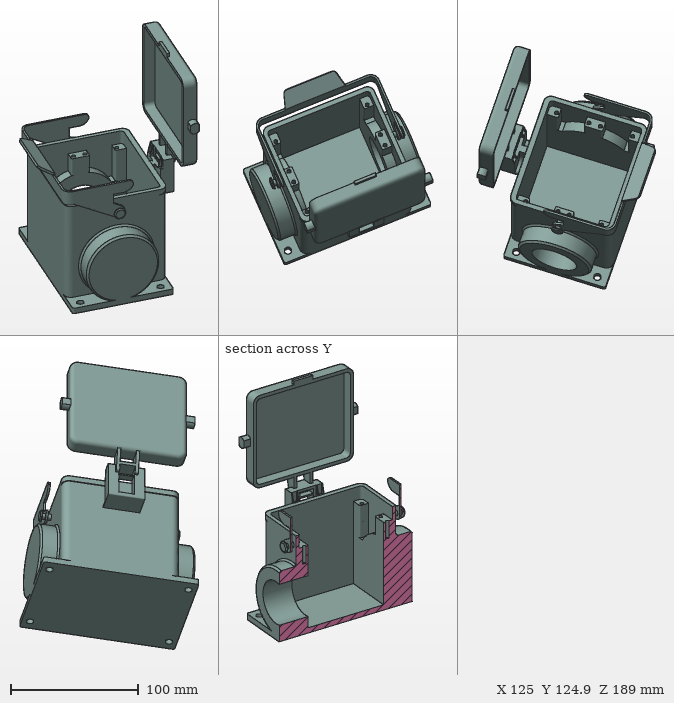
import math

import cadquery as cq


BASE_LENGTH = 125.0
BASE_THICKNESS = 5.1
BASE_CORNER_RADIUS = 1.7
BASE_HOLE_RADIUS = 2.8
BASE_HOLE_X = 56.0
BASE_HOLE_Y = 33.5
BODY_LENGTH = 94.1
BODY_DEPTH = 84.1
BODY_TOP = 89.5
BODY_CORNER_RADIUS = 6.0
RIM_HEIGHT = 5.0
RIM_OVERHANG = 0.8
CAVITY_LENGTH = 87
CAVITY_DEPTH = 76.4
CAVITY_CORNER_RADIUS = 2.8

INNER_FACE_X = 35.3
SHELF_TOP = 49.3
POST_TOP = 77.9
CORNER_POST_WIDTH = 9.3
MIDDLE_POST_WIDTH = 15.1
POST_EDGE_RADIUS = 1.1
SCREW_HOLE_RADIUS = 1.5
SCREW_HOLE_DEPTH = 15.1
SCREW_HOLE_X = 39.0
CORNER_SCREW_Y = 31.4
MIDDLE_SCREW_Y = 4.7

ENTRY_Z = 32.9
ENTRY_RADIUS = 30.2
ENTRY_CHAMFER = 1.7
ENTRY_FLARE = 1.5
FLARE_EDGE = 0.02
ENTRY_BORE_RADIUS = 18.5

LID_BACK = 68
LID_FRONT = 55.8
LID_BOTTOM = 104
LID_TOP = 185.8
LID_WALL = 3.0
LID_CORNER_RADIUS = 6.8
LID_EDGE_RADIUS = 3.4
LID_TAB_TOP = 189
LID_TAB_WIDTH = 18.1
LID_TAB_THICKNESS = 2.3
LID_PIN_Y = 63.1
LID_PIN_Z = 144.2
LID_PIN_RADIUS = 4.7
LID_PIN_FLAT = 3.5
LID_PIN_END_X = 53.5

HINGE_WIDTH = 29.5
HINGE_BACK = 59.7
HINGE_FRONT = 48.2
HINGE_TOP_FRONT = 50.7
HINGE_TOP = 94.1
HINGE_BOTTOM = 63.1
HINGE_SHOULDER = 84.1
HINGE_EDGE_RADIUS = 1.0
NOTCH_WIDTH = 17.8
NOTCH_BACK = 51.2
WINDOW_WIDTH = 12.5
WINDOW_TOP = 91.7
BAR_BOTTOM = 86.4
BAR_TOP = 87.7
BAR_BACK = 56.9
CHEEK_POCKET_X = 11.7
CHEEK_POCKET_WIDTH = 4.2
CHEEK_POCKET_FLOOR = 85.6
CHEEK_POCKET_BACK = 50.8
FOOT_TOP = 66.7
FOOT_EDGE_RADIUS = 2.3
RIB_WIDTH = 5.9
RIB_FLARE_RADIUS = 7.2
EAR_BOTTOM = 86.4
EAR_TIP_BACK = 62.4
EAR_TOP_BACK = 67.1
EAR_TIP_RADIUS = 1.5

PIVOT_Z = 80.0
PIVOT_RADIUS = 2.5
PIVOT_HEAD_RADIUS = 4.7
PIVOT_HEAD_THICKNESS = 1.5
PIVOT_HEAD_CHAMFER = 1.0
PIVOT_END_X = 56.1
LEVER_WIDTH = 104
LEVER_SHEET = 1.7
LEVER_FRONT = -45.2
LEVER_BEND_RADIUS = 7.2
LEVER_TOP = 106.8
LEVER_BAR_BOTTOM = 94.5
LEVER_BAR_END = -36.7
LEVER_HUB_RADIUS = 5.3
LEVER_NECK_Y = -4.2
LEVER_NECK_Z = 88.5
HOOK_BOTTOM = 97.0
HOOK_UNDERSIDE_END = 3.0
HOOK_NOSE_Y = 12.5
HOOK_NOSE_Z = 102.8
HOOK_TOP_END = 8.5
HOOK_LOWER_BULGE = (10.0, 99.2)
HOOK_UPPER_BULGE = (11.3, 105.7)

GRIP_ANGLE = math.radians(30)
GRIP_TIP_Y = -56.9
GRIP_TIP_Z = 114.3
GRIP_LENGTH = 15.9
GRIP_SHEET = 2.0
GRIP_ROOT_WIDTH = 51.5
GRIP_TIP_WIDTH = 43.0
GRIP_CORNER_RADIUS = 4.7
GRIP_FOLD_TOP = 108.1


def block(x_range, y_range, z_range):
    """Box given by its limits along each axis."""
    sizes = [high - low for low, high in (x_range, y_range, z_range)]
    origin = (x_range[0], y_range[0], z_range[0])
    return cq.Workplane("XY").box(*sizes, centered=False).translate(origin)


def centred_block(width, y_range, z_range):
    """Box centred on X = 0."""
    return block((-width / 2, width / 2), y_range, z_range)


def x_cylinder(radius, y, z, x_start, x_end):
    """Cylinder along X."""
    plane = cq.Workplane("YZ", origin=(x_start, y, z))
    return plane.circle(radius).extrude(x_end - x_start)


def both_ends(feature):
    """The feature together with its mirror image across X = 0."""
    return feature.union(feature.mirror("YZ"))


def tangent_point(point, centre, radius, side):
    """Where the line from a point touches a circle; side is +1 or -1."""
    dy = point[0] - centre[0]
    dz = point[1] - centre[1]
    spread = math.acos(radius / math.hypot(dy, dz))
    angle = math.atan2(dz, dy) + side * spread
    return (centre[0] + radius * math.cos(angle), centre[1] + radius * math.sin(angle))


def make_shell():
    base = (
        centred_block(BASE_LENGTH, (-BODY_DEPTH / 2, BODY_DEPTH / 2), (0, BASE_THICKNESS))
        .edges("|Z").fillet(BASE_CORNER_RADIUS)
    )
    body = (
        centred_block(BODY_LENGTH, (-BODY_DEPTH / 2, BODY_DEPTH / 2), (0, BODY_TOP))
        .edges("|Z").fillet(BODY_CORNER_RADIUS)
    )
    rim = (
        centred_block(
            BODY_LENGTH,
            (-BODY_DEPTH / 2, BODY_DEPTH / 2 + RIM_OVERHANG),
            (BODY_TOP - RIM_HEIGHT, BODY_TOP),
        )
        .edges("|Z").fillet(BODY_CORNER_RADIUS)
    )
    base_holes = (
        cq.Workplane("XY")
        .rect(2 * BASE_HOLE_X, 2 * BASE_HOLE_Y, forConstruction=True)
        .vertices().circle(BASE_HOLE_RADIUS).extrude(BASE_THICKNESS)
    )
    return body.union(rim).union(both_ends(make_entry())).union(base).cut(base_holes)


def make_entry():
    """Outer cable entry at the -X end, flared where it meets the body."""
    body_end = -BODY_LENGTH / 2
    barrel = (
        x_cylinder(ENTRY_RADIUS, 0, ENTRY_Z, -BASE_LENGTH / 2, body_end)
        .faces("<X").edges().chamfer(ENTRY_CHAMFER)
    )
    flare = (
        x_cylinder(ENTRY_RADIUS + ENTRY_FLARE, 0, ENTRY_Z, body_end - ENTRY_FLARE, body_end)
        .faces("<X").edges().chamfer(ENTRY_FLARE - FLARE_EDGE)
    )
    return barrel.union(flare)


def make_cavity():
    """Room inside the housing, less what stands against its end walls."""
    room = (
        centred_block(CAVITY_LENGTH, (-CAVITY_DEPTH / 2, CAVITY_DEPTH / 2), (BASE_THICKNESS, BODY_TOP))
        .edges("|Z").fillet(CAVITY_CORNER_RADIUS)
    )
    return room.cut(both_ends(make_end_wall()))


def make_end_wall():
    """Shelf, inner entry boss and screw posts at the -X end."""
    x_range = (-BODY_LENGTH / 2, -INNER_FACE_X)
    half_depth = CAVITY_DEPTH / 2

    wall = block(x_range, (-half_depth, half_depth), (0, SHELF_TOP))
    wall = wall.union(x_cylinder(ENTRY_RADIUS, 0, ENTRY_Z, *x_range))

    post_inner = half_depth - CORNER_POST_WIDTH
    posts = (
        ((-half_depth, -post_inner), ">X and >Y"),
        ((-MIDDLE_POST_WIDTH / 2, MIDDLE_POST_WIDTH / 2), ">X"),
        ((post_inner, half_depth), ">X and <Y"),
    )
    for y_range, rounded in posts:
        post = block(x_range, y_range, (0, POST_TOP))
        post = post.edges("|Z").edges(rounded).fillet(POST_EDGE_RADIUS)
        wall = wall.union(post)

    screw_points = [
        (-SCREW_HOLE_X, side * y) for side in (-1, 1) for y in (MIDDLE_SCREW_Y, CORNER_SCREW_Y)
    ]
    screw_holes = (
        cq.Workplane("XY", origin=(0, 0, POST_TOP - SCREW_HOLE_DEPTH))
        .pushPoints(screw_points).circle(SCREW_HOLE_RADIUS).extrude(SCREW_HOLE_DEPTH)
    )
    return wall.cut(screw_holes)


def make_lid():
    half = BODY_LENGTH / 2
    tray = (
        block((-half, half), (LID_FRONT, LID_BACK), (LID_BOTTOM, LID_TOP))
        .edges("|Y").fillet(LID_CORNER_RADIUS)
        .faces(">Y").edges().fillet(LID_EDGE_RADIUS)
    )
    recess = (
        centred_block(
            BODY_LENGTH - 2 * LID_WALL,
            (LID_FRONT, LID_BACK - LID_WALL),
            (LID_BOTTOM + LID_WALL, LID_TOP - LID_WALL),
        )
        .edges("|Y").fillet(LID_CORNER_RADIUS - LID_WALL)
    )
    tab = centred_block(
        LID_TAB_WIDTH,
        (LID_FRONT, LID_FRONT + LID_TAB_THICKNESS),
        (LID_TOP - LID_WALL, LID_TAB_TOP),
    )
    pin = x_cylinder(LID_PIN_RADIUS, LID_PIN_Y, LID_PIN_Z, -LID_PIN_END_X, LID_WALL - half)
    pin = pin.intersect(
        centred_block(
            2 * LID_PIN_END_X,
            (LID_PIN_Y - LID_PIN_FLAT, LID_PIN_Y + LID_PIN_FLAT),
            (LID_PIN_Z - LID_PIN_RADIUS, LID_PIN_Z + LID_PIN_RADIUS),
        )
    )
    return tray.cut(recess).union(tab).union(both_ends(pin))


def make_lid_ears():
    """Pair of tapered ears, joined by a bridge, reaching from the lid into the hinge block."""
    ear_top = LID_BOTTOM + LID_WALL / 2
    ears = (
        cq.Workplane("YZ")
        .moveTo(LID_FRONT, ear_top)
        .lineTo(LID_FRONT, EAR_BOTTOM)
        .lineTo(EAR_TIP_BACK, EAR_BOTTOM)
        .lineTo(EAR_TOP_BACK, ear_top)
        .close()
        .extrude(NOTCH_WIDTH / 2, both=True)
        .faces("<Z").edges(">Y").fillet(EAR_TIP_RADIUS)
    )
    upper_gap = centred_block(WINDOW_WIDTH, (LID_FRONT, LID_BACK), (HINGE_TOP, ear_top))
    lower_gap = centred_block(WINDOW_WIDTH, (LID_FRONT, LID_BACK), (EAR_BOTTOM, WINDOW_TOP))
    return ears.cut(upper_gap).cut(lower_gap)


def make_hinge():
    """Hinge block: two pocketed cheeks with a notch, a window and a thin bar between them."""
    hinge = (
        cq.Workplane("YZ")
        .moveTo(HINGE_BACK, HINGE_BOTTOM)
        .lineTo(HINGE_BACK, HINGE_TOP)
        .lineTo(HINGE_TOP_FRONT, HINGE_TOP)
        .lineTo(HINGE_FRONT, HINGE_SHOULDER)
        .lineTo(HINGE_FRONT, HINGE_BOTTOM)
        .close()
        .extrude(HINGE_WIDTH / 2, both=True)
        .edges("|X and >Y").fillet(HINGE_EDGE_RADIUS)
    )
    notch = centred_block(NOTCH_WIDTH, (HINGE_FRONT, NOTCH_BACK), (HINGE_SHOULDER, HINGE_TOP))
    window = centred_block(WINDOW_WIDTH, (NOTCH_BACK, HINGE_BACK), (FOOT_TOP, WINDOW_TOP))
    bar = centred_block(WINDOW_WIDTH, (NOTCH_BACK, BAR_BACK), (BAR_BOTTOM, BAR_TOP))
    cheek_pocket = block(
        (-CHEEK_POCKET_X - CHEEK_POCKET_WIDTH / 2, -CHEEK_POCKET_X + CHEEK_POCKET_WIDTH / 2),
        (HINGE_FRONT, CHEEK_POCKET_BACK),
        (CHEEK_POCKET_FLOOR, HINGE_TOP),
    )
    return hinge.cut(notch).cut(window).union(bar).cut(both_ends(cheek_pocket))


def make_hinge_bracket():
    """Bracket from the hinge to the body: a foot and an upright rib blended by round flares."""
    body_back = BODY_DEPTH / 2
    foot_half = HINGE_WIDTH / 2
    rib_half = RIB_WIDTH / 2
    flare_end = rib_half + RIB_FLARE_RADIUS
    flare_top = FOOT_TOP + RIB_FLARE_RADIUS
    flare_mid = RIB_FLARE_RADIUS * (1 - math.sqrt(0.5))
    return (
        cq.Workplane("XZ", origin=(0, body_back, 0))
        .moveTo(-foot_half, HINGE_BOTTOM)
        .lineTo(foot_half, HINGE_BOTTOM)
        .lineTo(foot_half, FOOT_TOP)
        .lineTo(flare_end, FOOT_TOP)
        .threePointArc((rib_half + flare_mid, FOOT_TOP + flare_mid), (rib_half, flare_top))
        .lineTo(rib_half, HINGE_SHOULDER)
        .lineTo(-rib_half, HINGE_SHOULDER)
        .lineTo(-rib_half, flare_top)
        .threePointArc((-rib_half - flare_mid, FOOT_TOP + flare_mid), (-flare_end, FOOT_TOP))
        .lineTo(-foot_half, FOOT_TOP)
        .close()
        .extrude(body_back - HINGE_FRONT)
        .faces("<X or >X").edges(">Z").fillet(FOOT_EDGE_RADIUS)
    )


def make_pivots():
    shaft = x_cylinder(PIVOT_RADIUS, 0, PIVOT_Z, -PIVOT_END_X, -BODY_LENGTH / 2)
    head_inner_x = PIVOT_HEAD_THICKNESS - PIVOT_END_X
    head = (
        x_cylinder(PIVOT_HEAD_RADIUS, 0, PIVOT_Z, -PIVOT_END_X, head_inner_x)
        .faces("<X").edges().chamfer(PIVOT_HEAD_CHAMFER)
    )
    return both_ends(shaft.union(head))


def make_lever_outline():
    """Side outline of the lever, extruded across its whole width."""
    hub = (0, PIVOT_Z)
    neck = (LEVER_NECK_Y, LEVER_NECK_Z)
    bar_end = (LEVER_BAR_END, LEVER_BAR_BOTTOM)
    outline = (
        cq.Workplane("YZ")
        .moveTo(LEVER_FRONT, LEVER_TOP)
        .lineTo(LEVER_FRONT, LEVER_BAR_BOTTOM)
        .lineTo(*bar_end)
        .lineTo(*tangent_point(bar_end, hub, LEVER_HUB_RADIUS, 1))
        .threePointArc((LEVER_HUB_RADIUS, PIVOT_Z), tangent_point(neck, hub, LEVER_HUB_RADIUS, -1))
        .lineTo(*neck)
        .lineTo(LEVER_NECK_Y, HOOK_BOTTOM)
        .lineTo(HOOK_UNDERSIDE_END, HOOK_BOTTOM)
        .threePointArc(HOOK_LOWER_BULGE, (HOOK_NOSE_Y, HOOK_NOSE_Z))
        .threePointArc(HOOK_UPPER_BULGE, (HOOK_TOP_END, LEVER_TOP))
        .close()
    )
    return outline.extrude(LEVER_WIDTH / 2, both=True)


def make_lever():
    z_range = (PIVOT_Z - LEVER_HUB_RADIUS, LEVER_TOP)
    outer = (
        centred_block(LEVER_WIDTH, (LEVER_FRONT, HOOK_NOSE_Y), z_range)
        .edges("|Z and <Y").fillet(LEVER_BEND_RADIUS)
    )
    inner = (
        centred_block(LEVER_WIDTH - 2 * LEVER_SHEET, (LEVER_FRONT + LEVER_SHEET, HOOK_NOSE_Y), z_range)
        .edges("|Z and <Y").fillet(LEVER_BEND_RADIUS - LEVER_SHEET)
    )
    return make_lever_outline().intersect(outer.cut(inner)).union(make_grip())


def make_grip():
    """Sloping finger grip with a fold that joins it to the lever bar."""
    run = GRIP_LENGTH * math.cos(GRIP_ANGLE)
    rise = GRIP_LENGTH * math.sin(GRIP_ANGLE)
    across_y = GRIP_SHEET * math.sin(GRIP_ANGLE)
    across_z = GRIP_SHEET * math.cos(GRIP_ANGLE)
    root_y = GRIP_TIP_Y + run
    root_z = GRIP_TIP_Z - rise
    sheet = (
        cq.Workplane("YZ")
        .polyline([
            (GRIP_TIP_Y, GRIP_TIP_Z),
            (root_y, root_z),
            (root_y + across_y, root_z + across_z),
            (GRIP_TIP_Y + across_y, GRIP_TIP_Z + across_z),
        ])
        .close()
        .extrude(GRIP_ROOT_WIDTH / 2, both=True)
    )
    bar_back = LEVER_FRONT + LEVER_SHEET
    plan = (
        cq.Workplane("XY", origin=(0, 0, LEVER_BAR_BOTTOM))
        .polyline([
            (-GRIP_TIP_WIDTH / 2, GRIP_TIP_Y),
            (GRIP_TIP_WIDTH / 2, GRIP_TIP_Y),
            (GRIP_ROOT_WIDTH / 2, bar_back),
            (-GRIP_ROOT_WIDTH / 2, bar_back),
        ])
        .close()
        .extrude(LID_TOP - LEVER_BAR_BOTTOM)
        .edges("|Z and <Y").fillet(GRIP_CORNER_RADIUS)
    )
    fold_z = (LEVER_BAR_BOTTOM, GRIP_FOLD_TOP)
    fold = centred_block(GRIP_ROOT_WIDTH, (LEVER_FRONT, bar_back), fold_z)
    return sheet.intersect(plan).union(fold)


cable_bore = x_cylinder(ENTRY_BORE_RADIUS, 0, ENTRY_Z, -BASE_LENGTH / 2, -INNER_FACE_X)

result = make_shell().cut(make_cavity()).cut(cable_bore)
added_features = (
    make_hinge(),
    make_hinge_bracket(),
    make_lid_ears(),
    make_lid(),
    make_pivots(),
    make_lever(),
)
for feature in added_features:
    result = result.union(feature)